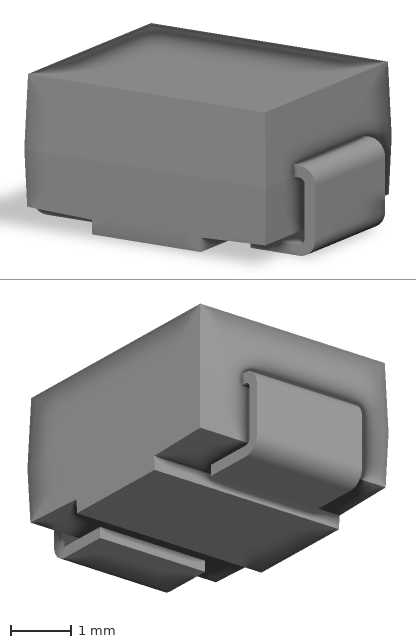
import cadquery as cq
import math

body_length = 4.75
body_width = 3.95
top_z = 2.64
parting_z = 1.35
draft_angle = 2.0

pedestal_length = 2.14
pedestal_z = 0.05
underside_z = 0.305
underside_angle = 2.0

overall_length = 5.59
lead_width = 2.2
lead_thickness = 0.205
lead_outer_radius = 0.31
lead_inner_radius = lead_outer_radius - lead_thickness
lead_foot_length = 1.27
lead_embed = 0.3


def make_drafted_half(height):
    """Half of the body, from the parting plane to a signed height, narrowing away from it."""
    return (
        cq.Workplane("XY", origin=(0, 0, parting_z))
        .rect(body_length, body_width)
        .extrude(height, taper=draft_angle)
    )


def make_end_relief(side):
    """Wedge below one end of the body that leaves the pedestal standing; side is -1 or +1."""
    inner_x = pedestal_length / 2
    outer_x = overall_length / 2
    rise = (outer_x - inner_x) * math.tan(math.radians(underside_angle))
    profile = [
        (side * inner_x, 0),
        (side * outer_x, 0),
        (side * outer_x, underside_z + rise),
        (side * inner_x, underside_z),
    ]
    return cq.Workplane("XZ").polyline(profile).close().extrude(body_width / 2, both=True)


def make_body():
    upper_half = make_drafted_half(top_z - parting_z)
    lower_half = make_drafted_half(pedestal_z - parting_z)
    body = upper_half.union(lower_half)
    for side in (-1, 1):
        body = body.cut(make_end_relief(side))
    return body


def make_left_lead():
    """Bent strip: upper arm into the body, vertical shank, and foot folded under the body."""
    outer_x = -overall_length / 2
    inner_x = outer_x + lead_thickness
    arm_end_x = -body_length / 2 + lead_embed
    foot_end_x = outer_x + lead_foot_length
    lead_top_z = parting_z + lead_thickness

    outer_block = (
        cq.Workplane("XZ")
        .moveTo(outer_x, 0)
        .lineTo(foot_end_x, 0)
        .lineTo(foot_end_x, lead_thickness)
        .lineTo(inner_x, lead_thickness)
        .lineTo(inner_x, parting_z)
        .lineTo(arm_end_x, parting_z)
        .lineTo(arm_end_x, lead_top_z)
        .lineTo(outer_x, lead_top_z)
        .close()
        .extrude(lead_width / 2, both=True)
    )
    rounded_outside = outer_block.edges("|Y and <X").fillet(lead_outer_radius)
    inner_corners = cq.selectors.BoxSelector(
        (inner_x - lead_inner_radius / 2, -lead_width, lead_thickness / 2),
        (inner_x + lead_inner_radius / 2, lead_width, parting_z + lead_thickness / 2),
    )
    return rounded_outside.edges("|Y").edges(inner_corners).fillet(lead_inner_radius)


left_lead = make_left_lead()
right_lead = left_lead.mirror("YZ")
result = make_body().union(left_lead).union(right_lead)